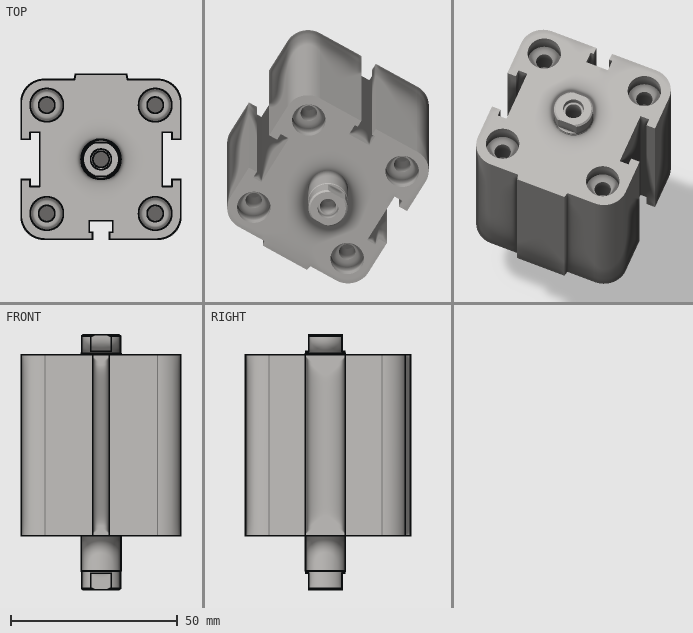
import cadquery as cq


HOUSING_WIDTH = 48.0
HOUSING_HEIGHT = 54.4
CORNER_RADIUS = 7.0

RAIL_HEIGHT = 1.5
RAIL_BASE_WIDTH = 16.0
RAIL_TOP_WIDTH = 15.4

SIDE_MOUTH_WIDTH = 12.0
SIDE_CHAMBER_WIDTH = 16.2
SIDE_LIP_DEPTH = 2.75
SIDE_SLOT_DEPTH = 5.6
FRONT_MOUTH_WIDTH = 5.05
FRONT_CHAMBER_WIDTH = 7.0
FRONT_LIP_DEPTH = 2.15
FRONT_SLOT_DEPTH = 5.5

FIXING_PITCH = 32.5
FIXING_DIAMETER = 4.9
COUNTERBORE_DIAMETER = 10.0
COUNTERBORE_DEPTH = 5.65
FIXING_DEPTH = 14.45

ROD_LENGTH = 76.5
ROD_DIAMETER = 12.0
TOP_PROTRUSION = 6.0
TIP_DIAMETER = 11.7
TIP_LENGTH = 5.5
TIP_TAPER_LENGTH = 0.27
TIP_CHAMFER = 0.5
ACROSS_FLATS = 10.0
FLAT_LENGTH = 5.0
BORE_DIAMETER = 4.9
BORE_DEPTH = 12.0
BORE_MOUTH_DIAMETER = 6.2
BORE_MOUTH_DEPTH = 2.0

HALF_WIDTH = HOUSING_WIDTH / 2
ROD_TOP = HOUSING_HEIGHT + TOP_PROTRUSION
ROD_BOTTOM = ROD_TOP - ROD_LENGTH
ROD_MIDDLE = (ROD_TOP + ROD_BOTTOM) / 2


def t_slot(mouth_width, chamber_width, lip_depth, slot_depth):
    """T-slot cutter that opens through the -Y face of the housing."""
    floor = -HALF_WIDTH + slot_depth
    lip = -HALF_WIDTH + lip_depth
    mouth = cq.Workplane("XY").box(mouth_width, slot_depth, HOUSING_HEIGHT, centered=(True, False, False))
    mouth = mouth.translate((0, -HALF_WIDTH, 0))
    chamber = cq.Workplane("XY").box(chamber_width, floor - lip, HOUSING_HEIGHT, centered=(True, False, False))
    return mouth.union(chamber.translate((0, lip, 0)))


def make_rail():
    """Rail with sloping flanks on the +Y face."""
    return (
        cq.Workplane("XY")
        .moveTo(-RAIL_BASE_WIDTH / 2, HALF_WIDTH)
        .lineTo(RAIL_BASE_WIDTH / 2, HALF_WIDTH)
        .lineTo(RAIL_TOP_WIDTH / 2, HALF_WIDTH + RAIL_HEIGHT)
        .lineTo(-RAIL_TOP_WIDTH / 2, HALF_WIDTH + RAIL_HEIGHT)
        .close()
        .extrude(HOUSING_HEIGHT)
    )


def make_housing():
    """Square profile with rail, T-slots, rod passage and fixing holes."""
    body = cq.Workplane("XY").rect(HOUSING_WIDTH, HOUSING_WIDTH).extrude(HOUSING_HEIGHT)
    body = body.edges("|Z").fillet(CORNER_RADIUS)
    body = body.union(make_rail())

    body = body.cut(t_slot(FRONT_MOUTH_WIDTH, FRONT_CHAMBER_WIDTH, FRONT_LIP_DEPTH, FRONT_SLOT_DEPTH))
    side_slot = t_slot(SIDE_MOUTH_WIDTH, SIDE_CHAMBER_WIDTH, SIDE_LIP_DEPTH, SIDE_SLOT_DEPTH)
    for angle in (-90, 90):
        body = body.cut(side_slot.rotate((0, 0, 0), (0, 0, 1), angle))

    body = body.faces(">Z").workplane(origin=(0, 0, 0)).hole(ROD_DIAMETER)
    for end_face in (">Z", "<Z"):
        body = (
            body.faces(end_face)
            .workplane(origin=(0, 0, 0))
            .rect(FIXING_PITCH, FIXING_PITCH, forConstruction=True)
            .vertices()
            .cboreHole(FIXING_DIAMETER, COUNTERBORE_DIAMETER, COUNTERBORE_DEPTH, FIXING_DEPTH)
        )
    return body


def make_upper_half_rod():
    """Upper half of the rod with its tip, wrench flats and stepped bore."""
    rod_radius = ROD_DIAMETER / 2
    tip_radius = TIP_DIAMETER / 2
    tip_start = ROD_TOP - TIP_LENGTH
    half = (
        cq.Workplane("XZ")
        .moveTo(0, ROD_MIDDLE)
        .lineTo(rod_radius, ROD_MIDDLE)
        .lineTo(rod_radius, tip_start - TIP_TAPER_LENGTH)
        .lineTo(tip_radius, tip_start)
        .lineTo(tip_radius, ROD_TOP - TIP_CHAMFER)
        .lineTo(tip_radius - TIP_CHAMFER, ROD_TOP)
        .lineTo(0, ROD_TOP)
        .close()
        .revolve(360, (0, 0), (0, 1))
    )

    flat_cutter = (
        cq.Workplane("XY", origin=(0, 0, ROD_TOP - FLAT_LENGTH))
        .rect(2 * ROD_DIAMETER, 2 * ROD_DIAMETER)
        .rect(2 * ROD_DIAMETER, ACROSS_FLATS)
        .extrude(FLAT_LENGTH)
    )
    half = half.cut(flat_cutter)

    return (
        half.faces(">Z")
        .workplane(origin=(0, 0, 0))
        .cboreHole(BORE_DIAMETER, BORE_MOUTH_DIAMETER, BORE_MOUTH_DEPTH, BORE_DEPTH)
    )


def make_rod():
    """Rod with two equal ends, mirrored about its middle."""
    upper_half = make_upper_half_rod()
    lower_half = upper_half.mirror("XY", (0, 0, ROD_MIDDLE))
    return upper_half.union(lower_half)


housing = make_housing()
rod = make_rod()

result = cq.Compound.makeCompound([housing.solids().val(), rod.solids().val()])